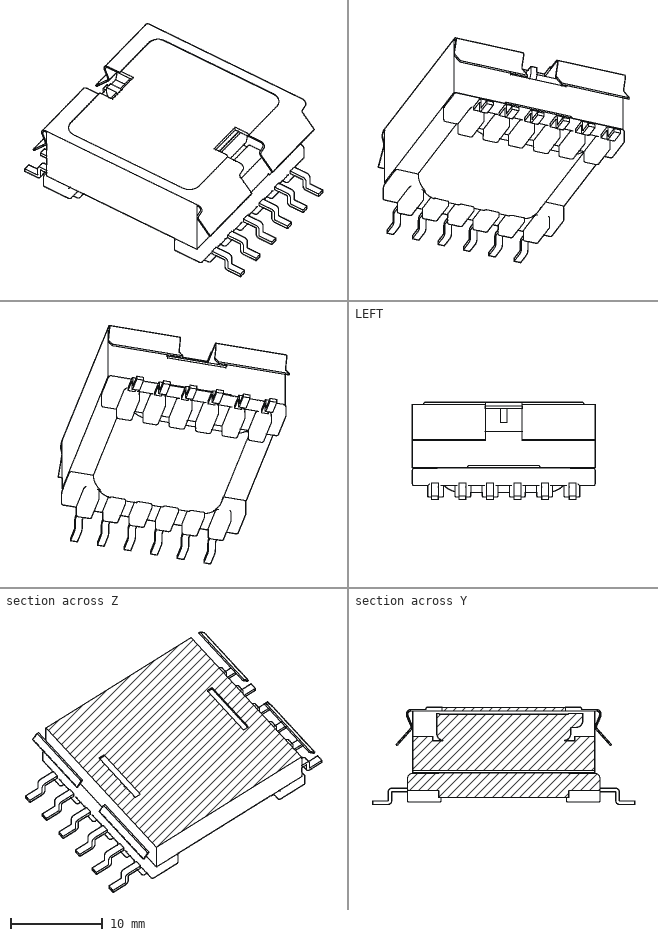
import cadquery as cq
import math

LENGTH = 28.65
WIDTH = 20.0
HEIGHT = 10.65

CORE_LENGTH = 19.95
CORE_BOTTOM = 3.5
CORE_TOP = 10.23
YOKE_THICKNESS = 2.23
CHANNEL_BASE = 7.45
CHANNEL_MOUTH = 8.3
CHANNEL_FLOOR = 6.53
RELIEF_HEIGHT = 0.23
RELIEF_MOUTH = 7.96
RELIEF_ROOF = 7.74

COIL_LENGTH = 14.67
COIL_WIDTH = CHANNEL_MOUTH
COIL_BOTTOM = 7.0
COIL_TOP = 9.97
COIL_EDGE_RADIUS = 0.8
COIL_FLANGE = 0.3
WINDING_STEP = 0.1

TAB_WIDTH = 0.72
TAB_LENGTH = 1.32
TAB_HEIGHT = 1.55
TAB_RADIUS = 0.77

SHEET = 0.17
LID_LENGTH = 17.08
LID_WIDTH = 17.53
LID_CORNER = 1.32
LID_EDGE = 0.244
NOTCH_WIDTH = 4.05
NOTCH_START = 6.75
CLIP_SHOULDER_X = 10.8
CLIP_WAIST = (10.0, 8.42)
CLIP_TIP = (11.72, 6.5)
SHOULDER_RADIUS = 0.45
WAIST_RADIUS = 0.37

BASE_LENGTH = 21.1
BAR_WIDTH = 3.7
BAR_BOTTOM = 1.52
BAR_TOP = 3.45
BAR_TOP_RADIUS = 0.6
EDGE_RADIUS = 0.25
END_RADIUS = 0.23
BOSS_BOTTOM = 0.3
BOSS_WIDTH = 1.75
BOSS_PITCH = 2.98
TRAY_WIDTH = 14.55
TRAY_BOTTOM = 0.77
TRAY_RADIUS = 2.58

PIN_COUNT = 6
PIN_PITCH = 3.0
PIN_WIDTH = 0.77
PIN_THICKNESS = 0.4
PIN_TOP = 1.8
PIN_RISER_X = 12.43
PIN_RADIUS = 0.23
PIN_EMBED = 1.15


def block(x0, x1, width, z0, z1):
    """Box from x0 to x1 and z0 to z1, centred on Y = 0."""
    return cq.Workplane("XY").box(x1 - x0, width, z1 - z0).translate(((x0 + x1) / 2, 0, (z0 + z1) / 2))


def extrude_y(profile, width):
    """Extrude a closed XZ profile symmetrically about Y = 0."""
    return profile.close().extrude(width / 2, both=True)


def bent_strip(path, radii, thickness, width):
    """Constant-thickness strip along an XZ path, with a rounded bend at each inner path point."""
    half = thickness / 2
    headings = [math.atan2(b[1] - a[1], b[0] - a[0]) for a, b in zip(path, path[1:])]

    def beside(point, heading, offset):
        return (point[0] - offset * math.sin(heading), point[1] + offset * math.cos(heading))

    def side(offset):
        """Start point, then (arc start, arc middle, arc end) for every bend, then the end point."""
        bends = []
        for corner, h_in, h_out, radius in zip(path[1:], headings, headings[1:], radii):
            turn = math.remainder(h_out - h_in, 2 * math.pi)
            signed = math.copysign(radius, turn)
            back = radius * math.tan(abs(turn) / 2)
            tangent = (corner[0] - back * math.cos(h_in), corner[1] - back * math.sin(h_in))
            centre = beside(tangent, h_in, signed)
            arc = [beside(centre, h, offset - signed) for h in (h_in, h_in + turn / 2, h_out)]
            bends.append(arc)
        return beside(path[0], headings[0], offset), bends, beside(path[-1], headings[-1], offset)

    left_start, left_bends, left_end = side(half)
    right_start, right_bends, right_end = side(-half)
    profile = cq.Workplane("XZ").moveTo(*left_start)
    for arc_start, arc_middle, arc_end in left_bends:
        profile = profile.lineTo(*arc_start).threePointArc(arc_middle, arc_end)
    profile = profile.lineTo(*left_end).lineTo(*right_end)
    for arc_start, arc_middle, arc_end in reversed(right_bends):
        profile = profile.lineTo(*arc_end).threePointArc(arc_middle, arc_start)
    return extrude_y(profile.lineTo(*right_start), width)


def on_both_ends(solid):
    """Add the mirror image about the YZ plane."""
    return solid.union(solid.mirror("YZ"))


def row_place(index, pitch):
    """Y of one pin or boss in a row centred on Y = 0."""
    return (index - (PIN_COUNT - 1) / 2) * pitch


def make_core():
    """Block with a tapered channel along X in its top and a shallow relief along X in its underside."""
    core = block(-CORE_LENGTH / 2, CORE_LENGTH / 2, WIDTH, CORE_BOTTOM, CORE_TOP)
    relief_roof = CORE_BOTTOM + RELIEF_HEIGHT
    for floor, floor_width, mouth, mouth_width in (
        (CHANNEL_BASE, CHANNEL_FLOOR, CORE_TOP, CHANNEL_MOUTH),
        (relief_roof, RELIEF_ROOF, CORE_BOTTOM, RELIEF_MOUTH),
    ):
        corners = [
            (-floor_width / 2, floor),
            (floor_width / 2, floor),
            (mouth_width / 2, mouth),
            (-mouth_width / 2, mouth),
        ]
        core = core.cut(cq.Workplane("YZ").polyline(corners).close().extrude(CORE_LENGTH / 2, both=True))
    recess_end = CORE_LENGTH / 2 - YOKE_THICKNESS
    return core.cut(block(-recess_end, recess_end, CHANNEL_FLOOR, COIL_BOTTOM, CHANNEL_BASE))


def make_coil():
    """Coil standing in the channel recess, with rounded lower ends, flange rims and a locating tab."""
    flange_face = COIL_LENGTH / 2
    coil = block(-flange_face, flange_face, COIL_WIDTH, COIL_BOTTOM, COIL_TOP)
    coil = coil.faces("<Z").edges("|Y").fillet(COIL_EDGE_RADIUS)
    winding_end = flange_face - COIL_FLANGE
    coil = coil.cut(block(-winding_end, winding_end, COIL_WIDTH, COIL_TOP - WINDING_STEP, COIL_TOP))
    tab = block(-flange_face - TAB_LENGTH, -winding_end, TAB_WIDTH, COIL_TOP - TAB_HEIGHT, COIL_TOP)
    tab = tab.edges("|Y and <X and <Z").fillet(TAB_RADIUS)
    return coil.union(tab)


def make_clip():
    """Sheet over the core with sprung sides, a raised lid, and a notch at the middle of each end."""
    middle = CORE_TOP + SHEET / 2
    path = [(0, middle), (CLIP_SHOULDER_X, middle), CLIP_WAIST, CLIP_TIP]
    clip = on_both_ends(bent_strip(path, (SHOULDER_RADIUS, WAIST_RADIUS), SHEET, WIDTH))
    lid = block(-LID_LENGTH / 2, LID_LENGTH / 2, LID_WIDTH, CORE_TOP, HEIGHT)
    lid = lid.edges("|Z").fillet(LID_CORNER).faces(">Z").edges().fillet(LID_EDGE)
    notch = block(NOTCH_START, LENGTH / 2, NOTCH_WIDTH, 0, HEIGHT)
    return clip.union(lid).cut(on_both_ends(notch))


def make_base():
    """Terminal bars with a boss under each pin, joined by a tray with rounded long edges."""
    outer = BASE_LENGTH / 2
    inner = outer - BAR_WIDTH
    bar = block(inner, outer, WIDTH, BAR_BOTTOM, BAR_TOP)
    bar = bar.edges("|Y and >X and >Z").fillet(BAR_TOP_RADIUS)
    bar = bar.edges("|Z").fillet(EDGE_RADIUS)
    bar = bar.faces("|Y").edges(">Z or <Z").fillet(END_RADIUS)
    sharp_length = (PIN_COUNT - 1) * BOSS_PITCH
    bar = bar.union(block(inner, outer, sharp_length, BAR_BOTTOM, BAR_BOTTOM + END_RADIUS))
    boss = block(inner, outer, BOSS_WIDTH, BOSS_BOTTOM, BAR_BOTTOM + EDGE_RADIUS)
    boss = boss.edges("|Z").fillet(EDGE_RADIUS).faces("<Z").edges().fillet(EDGE_RADIUS / 2)
    for index in range(PIN_COUNT):
        bar = bar.union(boss.translate((0, row_place(index, BOSS_PITCH), 0)))
    tray = block(-inner - EDGE_RADIUS, inner + EDGE_RADIUS, TRAY_WIDTH, TRAY_BOTTOM, CORE_BOTTOM)
    tray = tray.faces("<Z").edges("|X").fillet(TRAY_RADIUS)
    return on_both_ends(bar).union(tray)


def make_pins():
    """Two rows of pins: out of the bar, down the riser, then out along the foot."""
    upper = PIN_TOP - PIN_THICKNESS / 2
    foot = PIN_THICKNESS / 2
    path = [
        (BASE_LENGTH / 2 - PIN_EMBED, upper),
        (PIN_RISER_X, upper),
        (PIN_RISER_X, foot),
        (LENGTH / 2, foot),
    ]
    pair = on_both_ends(bent_strip(path, (PIN_RADIUS, PIN_RADIUS), PIN_THICKNESS, PIN_WIDTH))
    pins = pair.translate((0, row_place(0, PIN_PITCH), 0))
    for index in range(1, PIN_COUNT):
        pins = pins.union(pair.translate((0, row_place(index, PIN_PITCH), 0)))
    return pins


result = make_core().union(make_coil()).union(make_clip()).union(make_base()).union(make_pins())